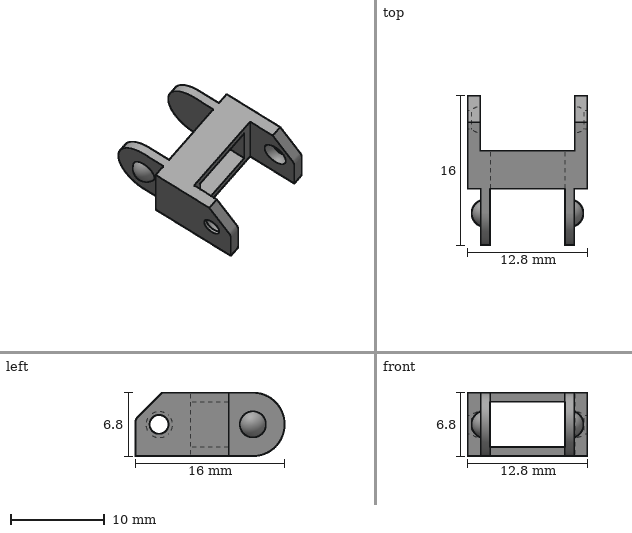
import cadquery as cq

width = 12.8
length = 15.96
height = 6.8
mid_height = height / 2

frame_front = 6.0
bar_back = 10.1
bar_thickness = 0.99
plate_thickness = 1.35
plate_inner_x = width / 2 - plate_thickness

lug_thickness = 1.0
pivot_clearance = 0.05
lug_outer_x = plate_inner_x - pivot_clearance
lug_inner_x = lug_outer_x - lug_thickness
lug_radius = mid_height
ball_radius = 1.48
ball_x = lug_outer_x - lug_thickness / 2

hole_diameter = 2.0
socket_radius = 1.4
hole_to_end = 2.54
hole_y = length - hole_to_end
slope_run = 2.85
tip_radius = 0.88


def prism_along_x(profile, x_start, thickness):
    """Extrude a closed YZ profile from x_start toward +X."""
    return profile.extrude(thickness).translate((x_start, 0, 0))


def pivot_sphere(x, y, radius):
    """Sphere centred at mid height, with its poles along X."""
    return cq.Workplane("YZ").sphere(radius).translate((x, y, mid_height))


def side_plate():
    """Plate with a 45 degree sloped rear corner, a rounded tip and a spherical socket."""
    profile = (
        cq.Workplane("YZ")
        .moveTo(frame_front, 0)
        .lineTo(length, 0)
        .lineTo(length, height - slope_run)
        .lineTo(length - slope_run, height)
        .lineTo(frame_front, height)
        .close()
    )
    plate = prism_along_x(profile, plate_inner_x, plate_thickness)
    plate = plate.faces(">Y").edges(">Z").fillet(tip_radius)
    hole_profile = cq.Workplane("YZ").center(hole_y, mid_height).circle(hole_diameter / 2)
    hole = prism_along_x(hole_profile, plate_inner_x, plate_thickness)
    return plate.cut(hole).cut(pivot_sphere(plate_inner_x, hole_y, socket_radius))


def lug():
    """Round-nosed lug with a ball on its outer face, flush on its inner face."""
    profile = (
        cq.Workplane("YZ")
        .moveTo(frame_front, 0)
        .lineTo(lug_radius, 0)
        .threePointArc((0, mid_height), (lug_radius, height))
        .lineTo(frame_front, height)
        .close()
    )
    outer_space = (
        cq.Workplane("XY")
        .box(width / 2, length, height, centered=False)
        .translate((lug_inner_x + lug_thickness / 2, 0, 0))
    )
    outer_ball = pivot_sphere(ball_x, lug_radius, ball_radius).intersect(outer_space)
    return prism_along_x(profile, lug_inner_x, lug_thickness).union(outer_ball)


def cross_bar(z_bottom):
    """Flat bar joining the two side plates."""
    return (
        cq.Workplane("XY")
        .box(2 * plate_inner_x, bar_back - frame_front, bar_thickness, centered=(True, False, False))
        .translate((0, frame_front, z_bottom))
    )


def frame_wall():
    """Solid wall between the bars that ties a lug to its side plate."""
    return (
        cq.Workplane("XY")
        .box(plate_inner_x - lug_inner_x, bar_back - frame_front, height, centered=False)
        .translate((lug_inner_x, frame_front, 0))
    )


result = cross_bar(0).union(cross_bar(height - bar_thickness))
for side_part in (frame_wall(), side_plate(), lug()):
    result = result.union(side_part).union(side_part.mirror("YZ"))